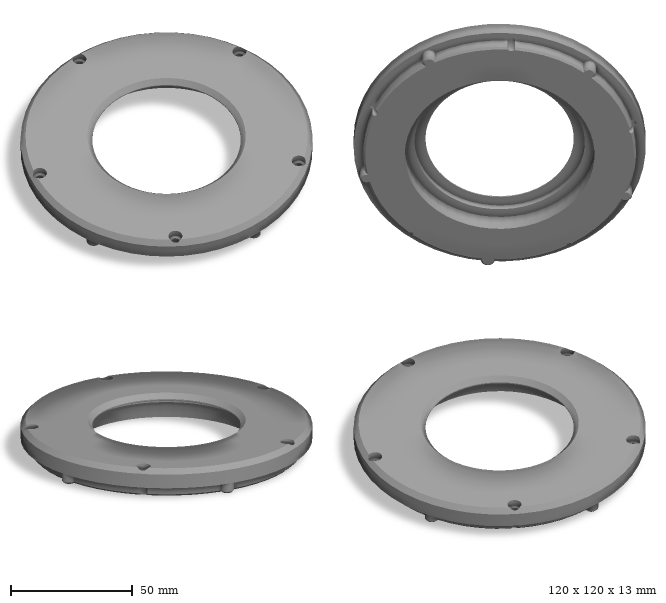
import cadquery as cq

plate_diameter = 120.0
plate_thickness = 8.0
plate_chamfer = 2.0
total_height = 13.0

bore_diameter = 61.0
lip_thickness = 2.5
seat_diameter = 70.0
seat_depth = 5.0
recess_diameter = 78.0

pitch_radius = 56.0
ring_outer_diameter = 2 * pitch_radius
ring_height = total_height - plate_thickness
ring_chamfer = 0.8

fastener_count = 5
first_screw_angle = -90.0
boss_angle_offset = 180.0 / fastener_count
screw_diameter = 3.1
head_diameter = 5.8
head_depth = 3.0
boss_diameter = 5.8


def on_pitch_circle(workplane, start_angle):
    """Place equally spaced points on the shared pitch circle."""
    return workplane.polarArray(pitch_radius, start_angle, 360, fastener_count)


def make_plate():
    """Disc with a chamfered upper rim; its underside lies at Z = 0."""
    plate = cq.Workplane("XY").circle(plate_diameter / 2).extrude(plate_thickness)
    return plate.faces(">Z").edges().chamfer(plate_chamfer)


def make_locating_ring():
    """Ring with outward bosses and screw notches, chamfered along its outer bottom edge."""
    base = cq.Workplane("XY")
    ring = base.circle(ring_outer_diameter / 2).extrude(-ring_height)
    ring = ring.faces("<Z").edges().chamfer(ring_chamfer)
    boss_angle = first_screw_angle + boss_angle_offset
    bosses = on_pitch_circle(base, boss_angle).circle(boss_diameter / 2).extrude(-ring_height)
    bosses = bosses.faces("<Z").edges().chamfer(ring_chamfer)
    notches = on_pitch_circle(base, first_screw_angle).circle(screw_diameter / 2).extrude(-ring_height)
    opening = base.circle(recess_diameter / 2).extrude(-ring_height)
    return ring.union(bosses).cut(notches).cut(opening)


def cut_opening(body):
    """Cut the chamfered bore and the two wider steps beneath its lip."""
    top = cq.Workplane("XY").workplane(offset=plate_thickness)
    bore = top.circle(bore_diameter / 2).extrude(-plate_thickness)
    flare = (
        top.circle(bore_diameter / 2 + plate_chamfer)
        .workplane(offset=-plate_chamfer)
        .circle(bore_diameter / 2)
        .loft(ruled=True)
    )
    base = cq.Workplane("XY")
    seat = base.circle(seat_diameter / 2).extrude(plate_thickness - lip_thickness)
    recess = base.circle(recess_diameter / 2).extrude(plate_thickness - seat_depth)
    return body.cut(bore).cut(flare).cut(seat).cut(recess)


def cut_screw_holes(body):
    """Cut through holes with flat-bottomed head recesses in the top face."""
    top = cq.Workplane("XY").workplane(offset=plate_thickness)
    shanks = on_pitch_circle(top, first_screw_angle).circle(screw_diameter / 2).extrude(-total_height)
    heads = on_pitch_circle(top, first_screw_angle).circle(head_diameter / 2).extrude(-head_depth)
    return body.cut(shanks).cut(heads)


body = make_plate().union(make_locating_ring())
result = cut_screw_holes(cut_opening(body))